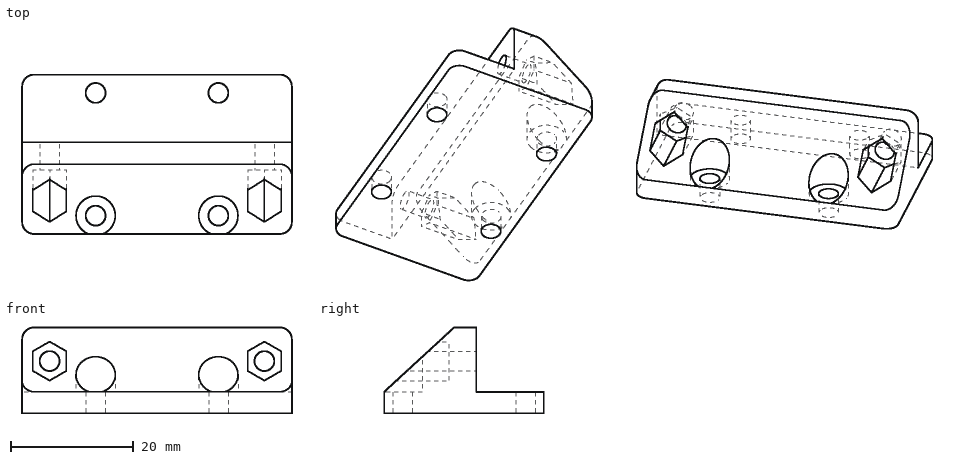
import cadquery as cq
import math

length = 44.0
depth = 26.0
height = 14.0
base_thickness = 3.5
wedge_depth = 15.0
wedge_top_width = 3.6
corner_radius = 2.0

screw_diameter = 3.2
base_hole_spacing = 20.0
base_hole_inset = 3.0
counterbore_diameter = 6.4
wall_hole_spacing = 35.0
wall_hole_height = 8.5
hexagon_sides = 6
point_up_angle = 90
nut_across_flats = 5.5
nut_across_corners = nut_across_flats / math.cos(math.pi / hexagon_sides)
nut_floor_thickness = 4.5

front_y = -depth / 2
back_y = depth / 2
wedge_back_y = front_y + wedge_depth
wedge_top_y = wedge_back_y - wedge_top_width


def make_plan_rounding():
    """Full-height block with rounded vertical corners."""
    block = cq.Workplane("XY").box(length, depth, height, centered=(True, True, False))
    return block.edges("|Z").fillet(corner_radius)


def make_profile():
    """L-shaped side profile with a sloped front, extruded along X."""
    outline = [
        (front_y, 0),
        (back_y, 0),
        (back_y, base_thickness),
        (wedge_back_y, base_thickness),
        (wedge_back_y, height),
        (wedge_top_y, height),
        (front_y, base_thickness),
    ]
    return cq.Workplane("YZ").polyline(outline).close().extrude(length / 2, both=True)


def make_end_rounding():
    """Full-depth block whose upper edges along Y are rounded."""
    block = cq.Workplane("XY").box(length, depth, height, centered=(True, True, False))
    return block.edges("|Y and >Z").fillet(corner_radius)


def base_screw_cutter(x, y):
    """Vertical screw hole through the base, open above for the screw head."""
    hole = cq.Workplane("XY").center(x, y).circle(screw_diameter / 2).extrude(height)
    if y > wedge_back_y:
        return hole
    head = (
        cq.Workplane("XY", origin=(x, y, base_thickness))
        .circle(counterbore_diameter / 2)
        .extrude(height)
    )
    return hole.union(head)


def wall_screw_cutter(x):
    """Horizontal screw hole through the wedge with a hexagonal nut pocket in front."""
    hole = (
        cq.Workplane("XZ", origin=(x, wedge_back_y, wall_hole_height))
        .circle(screw_diameter / 2)
        .extrude(wedge_depth)
    )
    pocket = (
        cq.Workplane("XZ", origin=(x, wedge_back_y - nut_floor_thickness, wall_hole_height))
        .transformed(rotate=(0, 0, point_up_angle))
        .polygon(hexagon_sides, nut_across_corners)
        .extrude(wedge_depth)
    )
    return hole.union(pocket)


result = make_profile().intersect(make_plan_rounding()).intersect(make_end_rounding())
for side in (-1, 1):
    for hole_y in (front_y + base_hole_inset, back_y - base_hole_inset):
        result = result.cut(base_screw_cutter(side * base_hole_spacing / 2, hole_y))
    result = result.cut(wall_screw_cutter(side * wall_hole_spacing / 2))